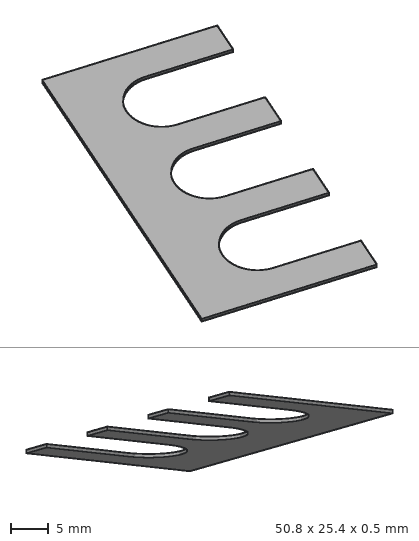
import cadquery as cq

length = 50.8
width = 25.4
thickness = 0.5

slot_count = 3
slot_width = 10.15
slot_depth = 17.8
slot_radius = slot_width / 2
tooth_width = (length - slot_count * slot_width) / (slot_count + 1)
slot_pitch = slot_width + tooth_width


def make_slot(center_x):
    """Cutter for one slot: straight sides ending in a half-round bottom."""
    open_y = width / 2
    bottom_y = open_y - slot_depth
    arc_y = bottom_y + slot_radius
    return (
        cq.Workplane("XY")
        .moveTo(center_x - slot_radius, open_y)
        .lineTo(center_x - slot_radius, arc_y)
        .threePointArc((center_x, bottom_y), (center_x + slot_radius, arc_y))
        .lineTo(center_x + slot_radius, open_y)
        .close()
        .extrude(thickness)
    )


result = cq.Workplane("XY").box(length, width, thickness, centered=(True, True, False))
for index in range(slot_count):
    offset_from_middle = index - (slot_count - 1) / 2
    result = result.cut(make_slot(offset_from_middle * slot_pitch))